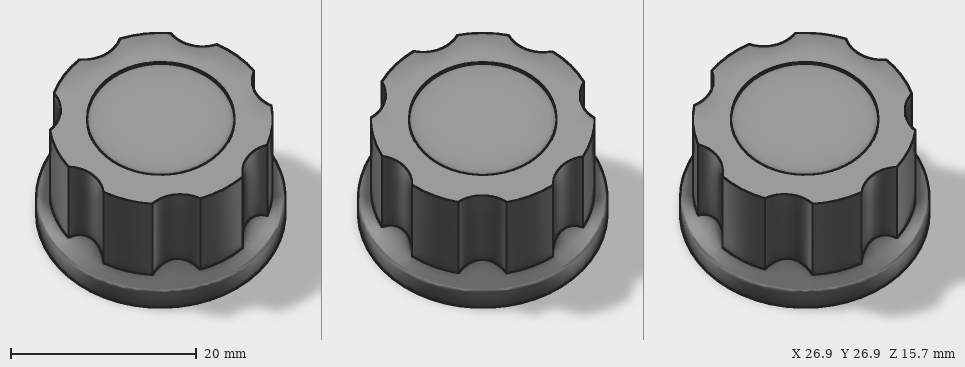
import cadquery as cq
import math

total_height = 15.7
skirt_radius = 13.45
grip_radius = 12.05

rim_height = 2.53
cone_top = 3.8
rim_fillet = 0.7

flute_count = 7
flute_radius = 4.05
flute_floor_radius = 10.82
first_flute_angle = 90.0

inlay_radius = 7.95
inlay_thickness = 0.55
inlay_sink = 0.3
recess_floor = total_height - inlay_sink - inlay_thickness

cone_slope = (cone_top - rim_height) / (skirt_radius - grip_radius)
cone_core_radius = 9.42
cone_core_top = rim_height + cone_slope * (skirt_radius - cone_core_radius)


def make_skirt():
    """Revolved rim and cone with a rounded edge between them."""
    skirt = (
        cq.Workplane("XZ")
        .polyline([
            (0, 0),
            (skirt_radius, 0),
            (skirt_radius, rim_height),
            (cone_core_radius, cone_core_top),
            (0, cone_core_top),
        ])
        .close()
        .revolve(360, (0, 0, 0), (0, 1, 0))
    )
    rim_edge = cq.selectors.BoxSelector(
        (-skirt_radius - 0.27, -skirt_radius - 0.27, rim_height - 0.27),
        (skirt_radius + 0.27, skirt_radius + 0.27, rim_height + 0.27),
        boundingbox=True,
    )
    return skirt.edges(rim_edge).fillet(rim_fillet)


def make_grip():
    """Cylinder with evenly spaced vertical finger flutes."""
    grip = cq.Workplane("XY").circle(grip_radius).extrude(total_height)
    flute_step = 360.0 / flute_count
    flute_centre_radius = flute_floor_radius + flute_radius
    for index in range(flute_count):
        angle = math.radians(first_flute_angle + index * flute_step)
        flute = (
            cq.Workplane("XY")
            .center(flute_centre_radius * math.cos(angle), flute_centre_radius * math.sin(angle))
            .circle(flute_radius)
            .extrude(total_height)
        )
        grip = grip.cut(flute)
    return grip


def make_knob():
    """Skirt and grip in one piece, with the inlay recess in the top."""
    recess = (
        cq.Workplane("XY")
        .workplane(offset=recess_floor)
        .circle(inlay_radius)
        .extrude(total_height - recess_floor)
    )
    return make_skirt().union(make_grip()).cut(recess)


def make_inlay():
    """Flat disc resting on the recess floor."""
    return (
        cq.Workplane("XY")
        .workplane(offset=recess_floor)
        .circle(inlay_radius)
        .extrude(inlay_thickness)
    )


knob = make_knob()
inlay = make_inlay()

result = cq.Compound.makeCompound([knob.solids().val(), inlay.val()])